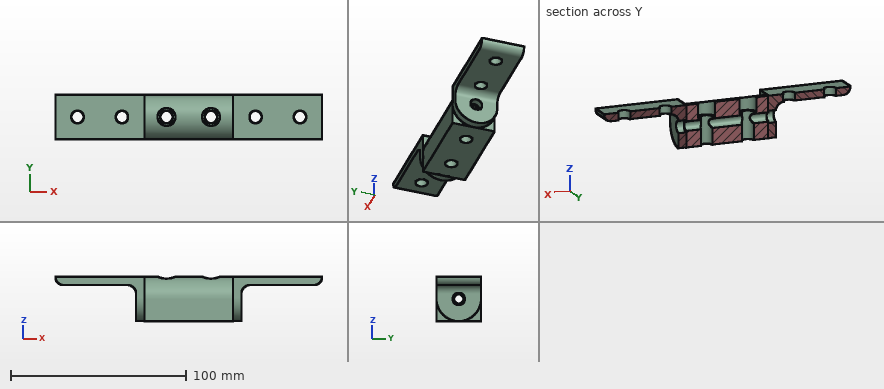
import cadquery as cq
import math

total_length = 152.4
width = 25.5
section_length = total_length / 3
radius = width / 2
arm_top = radius
base_depth = 12.8

plate_thickness = 4.9
flange_thickness = 4.7
inner_fillet = 4.9
tip_radius = 4.7
hole_diameter = 7.0

bore_diameter = 5.3
counterbore_diameter = 10.2
counterbore_depth = 8.5

hole_pitch = section_length / 2


def make_barrel():
    """Central block with a half-round top, an axial bore and two counterbored holes."""
    barrel = (
        cq.Workplane("YZ", origin=(-section_length / 2, 0, 0))
        .moveTo(-radius, 0)
        .threePointArc((0, radius), (radius, 0))
        .lineTo(radius, -base_depth)
        .lineTo(-radius, -base_depth)
        .close()
        .extrude(section_length)
    )
    bore = (
        cq.Workplane("YZ", origin=(-section_length / 2, 0, 0))
        .circle(bore_diameter / 2)
        .extrude(section_length)
    )
    screw_holes = (
        cq.Workplane("XY", origin=(0, 0, radius))
        .pushPoints([(-hole_pitch / 2, 0), (hole_pitch / 2, 0)])
    )
    through_holes = screw_holes.circle(hole_diameter / 2).extrude(-radius - base_depth)
    counterbores = screw_holes.circle(counterbore_diameter / 2).extrude(-counterbore_depth)
    return barrel.cut(bore).cut(through_holes).cut(counterbores)


def make_arm(side):
    """L-shaped arm on the +X (side = 1) or -X (side = -1) end of the barrel."""
    root = section_length / 2
    flange_face = root + flange_thickness
    tip = total_length / 2
    plate_bottom = arm_top - plate_thickness
    corner = math.sqrt(0.5)

    tip_center_x = tip - tip_radius
    tip_center_z = plate_bottom + tip_radius
    fillet_center_x = flange_face + inner_fillet
    fillet_center_z = plate_bottom - inner_fillet
    arm = (
        cq.Workplane("XZ", origin=(0, radius, 0))
        .moveTo(root, -radius)
        .lineTo(root, arm_top)
        .lineTo(tip, arm_top)
        .lineTo(tip, tip_center_z)
        .threePointArc(
            (tip_center_x + tip_radius * corner, tip_center_z - tip_radius * corner),
            (tip_center_x, plate_bottom),
        )
        .lineTo(fillet_center_x, plate_bottom)
        .threePointArc(
            (fillet_center_x - inner_fillet * corner, fillet_center_z + inner_fillet * corner),
            (flange_face, fillet_center_z),
        )
        .lineTo(flange_face, -radius)
        .close()
        .extrude(width)
    )

    rounded_envelope = (
        cq.Workplane("YZ")
        .moveTo(-radius, 0)
        .threePointArc((0, -radius), (radius, 0))
        .lineTo(radius, arm_top)
        .lineTo(-radius, arm_top)
        .close()
        .extrude(tip)
    )
    arm = arm.intersect(rounded_envelope)

    pivot_hole = (
        cq.Workplane("YZ", origin=(root, 0, 0))
        .circle(hole_diameter / 2)
        .extrude(section_length)
    )
    plate_center = root + section_length / 2
    screw_holes = (
        cq.Workplane("XY", origin=(plate_center, 0, plate_bottom))
        .pushPoints([(-hole_pitch / 2, 0), (hole_pitch / 2, 0)])
        .circle(hole_diameter / 2)
        .extrude(plate_thickness)
    )
    arm = arm.cut(pivot_hole).cut(screw_holes)
    return arm if side > 0 else arm.mirror("YZ")


barrel = make_barrel()
arms = [make_arm(side) for side in (-1, 1)]

result = cq.Compound.makeCompound([barrel.val(), *[arm.val() for arm in arms]])